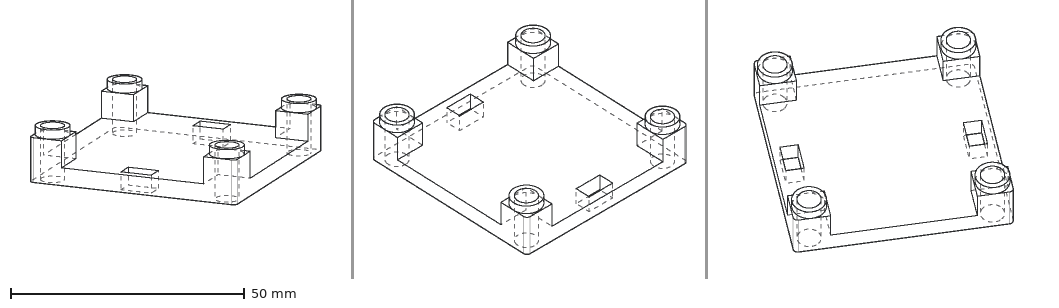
import cadquery as cq

side = 48.0
plate_thickness = 4.0
corner_radius = 1.0

post_length_x = 7.5
post_length_y = 8.0
post_top = 10.0
boss_top = 12.0
boss_diameter = 7.5
hole_diameter = 5.2

slot_length = 7.0
slot_width = 4.0
slot_edge_gap = 2.0

post_x = (side - post_length_x) / 2
post_y = (side - post_length_y) / 2
slot_y = side / 2 - slot_edge_gap - slot_width / 2
post_centers = [(x, y) for x in (-post_x, post_x) for y in (-post_y, post_y)]
slot_centers = [(0, -slot_y), (0, slot_y)]


def make_base():
    """Square plate with corner posts and rounded outer corners."""
    plate = cq.Workplane("XY").rect(side, side).extrude(plate_thickness)
    posts = (
        cq.Workplane("XY")
        .pushPoints(post_centers)
        .rect(post_length_x, post_length_y)
        .extrude(post_top)
    )
    rounded_envelope = (
        cq.Workplane("XY")
        .rect(side, side)
        .extrude(post_top)
        .edges("|Z")
        .fillet(corner_radius)
    )
    return plate.union(posts).intersect(rounded_envelope)


def make_cylinders(diameter, bottom, top):
    """One vertical cylinder on each post."""
    return (
        cq.Workplane("XY")
        .workplane(offset=bottom)
        .pushPoints(post_centers)
        .circle(diameter / 2)
        .extrude(top - bottom)
    )


def make_slots():
    """Cutters for the two slots through the plate."""
    return (
        cq.Workplane("XY")
        .pushPoints(slot_centers)
        .rect(slot_length, slot_width)
        .extrude(plate_thickness)
    )


bosses = make_cylinders(boss_diameter, post_top, boss_top)
holes = make_cylinders(hole_diameter, 0, boss_top)
result = make_base().union(bosses).cut(holes).cut(make_slots())